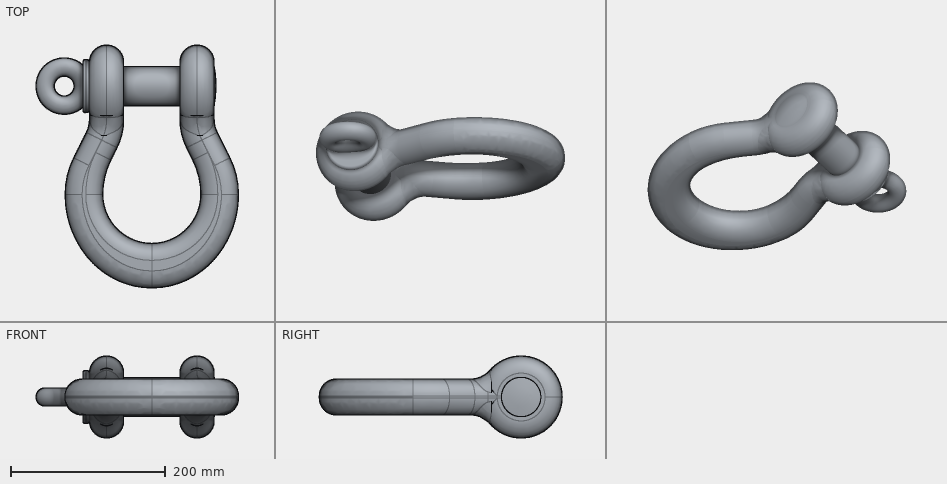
import cadquery as cq
import math


ear_radius = 53.165
ear_width = 44.45
ear_offset = 58.5
ear_flat_rim = 0.04

bow_thickness = 46.6
bow_rounding = 22.1
bow_center_y = -140.0
bow_inner_radius = 63.3
bow_outer_half_width = 112.2
bow_bottom_y = -261.1

bend_angle = math.radians(26.5)
bend_start_y = -43.0
bend_radius = 60.0

flare_radius = 33.7
flare_sections = 6
flare_overlap = 2.0
flare_side_clearance = 0.2

pin_radius = 25.5
pin_dome_height = 2.4
collar_radius = 34.5
collar_width = 8.5
collar_rounding = 3.4

eye_outer_radius = 36.6
eye_hole_radius = 12.7
eye_center_x = -113.3

foot_length = 59.2
foot_height = 22.4
foot_fillet = 3.2
foot_sections = 5

ear_half = ear_width / 2
ear_outer_face = ear_offset + ear_half
ear_inner_face = ear_offset - ear_half
bow_half = bow_thickness / 2
bow_outer_depth = bow_center_y - bow_bottom_y
collar_face_x = -ear_outer_face - collar_width
pin_dome_radius = (pin_radius ** 2 + pin_dome_height ** 2) / (2 * pin_dome_height)


def leg_side(start_x, first_radius, end_x):
    """Points of one leg side: a bend outwards, a straight and a reverse bend.

    The side starts straight down at (start_x, bend_start_y) and ends straight down
    at (end_x, bow_center_y). The reverse bend is tangent to the straight.
    """
    first_center_x = start_x + first_radius

    def first(angle):
        return (
            first_center_x - first_radius * math.cos(angle),
            bend_start_y - first_radius * math.sin(angle),
        )

    straight_start = first(bend_angle)
    reach_x = end_x - straight_start[0]
    drop_y = straight_start[1] - bow_center_y
    second_radius = (drop_y * math.sin(bend_angle) - reach_x * math.cos(bend_angle)) / (
        1 - math.cos(bend_angle)
    )
    second_center_x = end_x - second_radius

    def second(angle):
        return (
            second_center_x + second_radius * math.cos(angle),
            bow_center_y + second_radius * math.sin(angle),
        )

    return [
        first(0),
        first(bend_angle / 2),
        straight_start,
        second(bend_angle),
        second(bend_angle / 2),
        second(0),
    ]


def line(start, end):
    return cq.Edge.makeLine(cq.Vector(*start), cq.Vector(*end))


def arc(start, middle, end):
    return cq.Edge.makeThreePointArc(cq.Vector(*start), cq.Vector(*middle), cq.Vector(*end))


def leg_edges(top, points):
    return [
        line(top, points[0]),
        arc(*points[:3]),
        line(points[2], points[3]),
        arc(*points[3:]),
    ]


def make_half_bar():
    """The +X half of the bar from ear to ear, with its long edges rounded."""
    outer_top = (ear_outer_face, 0)
    inner_top = (ear_inner_face, 0)
    outer = leg_side(ear_outer_face, bend_radius - ear_half, bow_outer_half_width)
    inner = leg_side(ear_inner_face, bend_radius + ear_half, bow_inner_radius)

    outer_bottom = (0, bow_bottom_y)
    outer_bow = cq.Edge.makeEllipse(
        bow_outer_depth, bow_outer_half_width,
        cq.Vector(0, bow_center_y), cq.Vector(0, 0, 1), cq.Vector(0, -1), 0, 90,
    )
    inner_bottom = (0, bow_center_y - bow_inner_radius)
    inner_diagonal = bow_inner_radius * math.sqrt(0.5)
    inner_bow = arc(inner[-1], (inner_diagonal, bow_center_y - inner_diagonal), inner_bottom)

    outline = cq.Wire.assembleEdges([
        *leg_edges(outer_top, outer),
        outer_bow,
        line(outer_bottom, inner_bottom),
        inner_bow,
        *reversed(leg_edges(inner_top, inner)),
        line(inner_top, outer_top),
    ])
    bar = cq.Workplane("XY").add(outline).toPending().extrude(bow_half, both=True)
    return bar.faces("|Z").edges("not (|X or |Y)").fillet(bow_rounding)


def make_ear():
    """A thick disc on the X axis with a fully rounded rim."""
    disc = cq.Workplane("YZ", origin=(ear_offset, 0, 0)).circle(ear_radius)
    return disc.extrude(ear_half, both=True).edges().fillet((ear_width - ear_flat_rim) / 2)


def make_flare():
    """Blend from the ear's rim into the leg: elliptical sections under a concave arc."""
    center_z = bow_half + flare_radius
    end_y = -math.sqrt((ear_radius + flare_radius) ** 2 - center_z ** 2)
    rim_y = end_y * ear_radius / (ear_radius + flare_radius)
    step = (end_y - rim_y) / (flare_sections - 1)
    sections = []
    for index in range(flare_sections):
        y = rim_y + flare_overlap + index * step
        half_height = center_z - math.sqrt(flare_radius ** 2 - (y - end_y) ** 2)
        bend_drop = max(0, bend_start_y - y)
        bend_shift = bend_radius - math.sqrt(bend_radius ** 2 - bend_drop ** 2)
        section = cq.Edge.makeEllipse(
            half_height, ear_half - flare_side_clearance,
            cq.Vector(ear_offset + bend_shift, y, 0), cq.Vector(0, -1, 0), cq.Vector(0, 0, 1),
        )
        sections.append(cq.Wire.assembleEdges([section]))
    return cq.Workplane(cq.Solid.makeLoft(sections))


def make_bow():
    half = make_half_bar().union(make_ear(), clean=False).union(make_flare(), clean=False)
    pin_hole = cq.Workplane("YZ").circle(pin_radius).extrude(2 * ear_outer_face)
    half = half.cut(pin_hole, clean=False)
    return half.union(half.mirror("YZ"), clean=False)


def make_collar():
    collar = cq.Workplane("YZ", origin=(collar_face_x, 0, 0)).circle(collar_radius)
    return collar.extrude(collar_width).edges().fillet(collar_rounding)


def make_eye():
    tube_radius = (eye_outer_radius - eye_hole_radius) / 2
    ring_radius = eye_outer_radius - tube_radius
    return cq.Workplane(cq.Solid.makeTorus(ring_radius, tube_radius, cq.Vector(eye_center_x, 0, 0)))


def make_foot():
    """Slot-shaped sections that spread along a quarter arc towards the collar."""
    sections = []
    for index in range(foot_sections):
        angle = math.pi / 2 * index / (foot_sections - 1)
        spread = foot_fillet * (1 - math.cos(angle))
        x = collar_face_x - foot_fillet * (1 - math.sin(angle))
        slot = cq.Workplane("YZ", origin=(x, 0, 0))
        slot = slot.slot2D(foot_length + spread, foot_height + 2 * spread)
        sections.append(slot.wires().val())
    return cq.Workplane(cq.Solid.makeLoft(sections))


def make_shank():
    """The round shank through both ears, with a slightly domed free end."""
    profile = (
        cq.Workplane("XY")
        .moveTo(-ear_outer_face, 0)
        .lineTo(-ear_outer_face, pin_radius)
        .lineTo(ear_outer_face, pin_radius)
        .radiusArc((ear_outer_face + pin_dome_height, 0), pin_dome_radius)
        .close()
    )
    return profile.revolve(360, (0, 0, 0), (1, 0, 0))


def make_pin():
    pin = make_shank().union(make_collar())
    pin = pin.union(make_foot(), clean=False)
    return pin.union(make_eye(), clean=False)


bow = make_bow()
pin = make_pin()
result = cq.Compound.makeCompound([bow.solids().val(), pin.solids().val()])